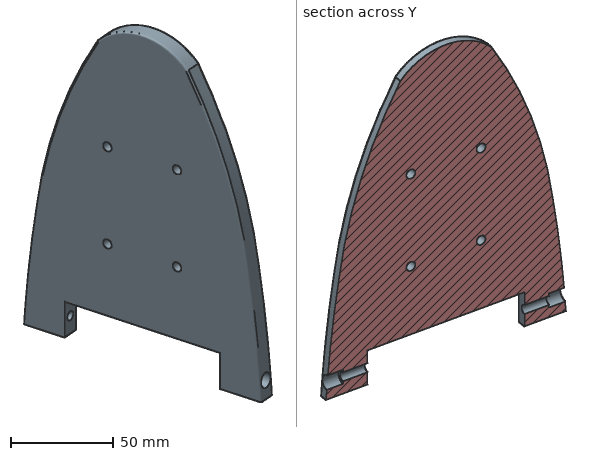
import cadquery as cq

height = 182.4
thickness = 10.0
half_base_width = 70.64

crown_corner_x = 26.9
crown_corner_z = 170.9
upper_arc_mid_x = 49.9
upper_arc_mid_z = 122.5
side_joint_x = 63.0
side_joint_z = 68.8
lower_arc_mid_x = 67.6
lower_arc_mid_z = 35.0
edge_radius = 1.0

notch_width = 92.2
notch_height = 20.0

mounting_hole_diameter = 5.0
mounting_spacing_x = 41.3
mounting_spacing_z = 54.0
mounting_lower_z = 60.0

pivot_z = 10.0
pivot_diameter = 5.0
counterbore_diameter = 8.0
counterbore_depth = 10.0


def make_plate():
    """Arched plate, centred on Y = 0, with rounded edges on its crown and sides."""
    outline = (
        cq.Workplane("XZ", origin=(0, thickness / 2, 0))
        .moveTo(-half_base_width, 0)
        .threePointArc((-lower_arc_mid_x, lower_arc_mid_z), (-side_joint_x, side_joint_z))
        .threePointArc((-upper_arc_mid_x, upper_arc_mid_z), (-crown_corner_x, crown_corner_z))
        .threePointArc((0, height), (crown_corner_x, crown_corner_z))
        .threePointArc((upper_arc_mid_x, upper_arc_mid_z), (side_joint_x, side_joint_z))
        .threePointArc((lower_arc_mid_x, lower_arc_mid_z), (half_base_width, 0))
        .close()
    )
    plate = outline.extrude(thickness)
    curved_edges = plate.faces("<Y or >Y").edges("not <Z")
    return curved_edges.fillet(edge_radius)


def make_notch():
    """Block that separates the two legs."""
    return cq.Workplane("XY").box(notch_width, thickness, notch_height, centered=(True, True, False))


def make_mounting_holes():
    """Four plain holes along Y, in a rectangle."""
    mounting_centre_z = mounting_lower_z + mounting_spacing_z / 2
    return (
        cq.Workplane("XZ", origin=(0, 0, mounting_centre_z))
        .rarray(mounting_spacing_x, mounting_spacing_z, 2, 2)
        .circle(mounting_hole_diameter / 2)
        .extrude(thickness / 2, both=True)
    )


def make_pivot_holes():
    """One bore along X through both legs, with a counterbore from each outer side."""
    pivot_plane = cq.Workplane("YZ", origin=(0, 0, pivot_z))
    cutter = pivot_plane.circle(pivot_diameter / 2).extrude(half_base_width, both=True)
    for side in (-1, 1):
        counterbore = (
            pivot_plane.workplane(offset=side * (half_base_width - counterbore_depth))
            .circle(counterbore_diameter / 2)
            .extrude(side * counterbore_depth)
        )
        cutter = cutter.union(counterbore)
    return cutter


result = make_plate().cut(make_notch()).cut(make_mounting_holes()).cut(make_pivot_holes())